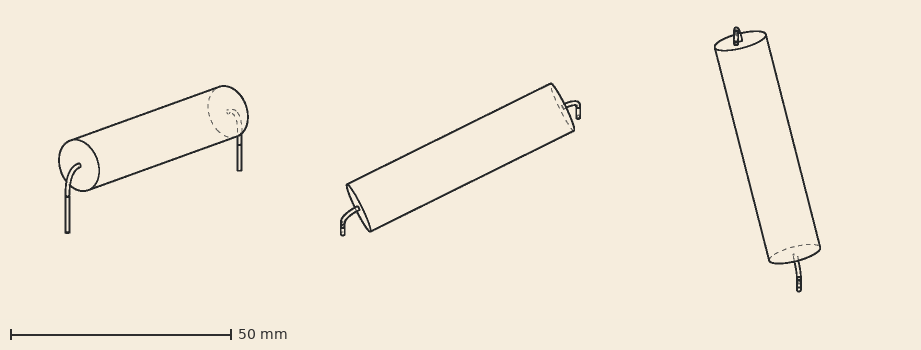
import cadquery as cq

overall_length = 61.05
body_diameter = 12.0
body_length = 52.0
lead_diameter = 1.0
overall_height = 21.0

body_end = body_length / 2
lead_reach = (overall_length - lead_diameter) / 2
lead_bottom = body_diameter / 2 - overall_height

shoulder_reach = 3.05
shoulder_drop = 1.65
leg_drop = 6.4


def make_body():
    """Plain cylinder along Y."""
    end_face = cq.Workplane("XZ", origin=(0, body_end, 0))
    return end_face.circle(body_diameter / 2).extrude(body_length)


def make_lead(side):
    """Round wire leaving one end face and bending down; side is -1 or 1 along Y."""
    center_line = [
        (side * body_end, 0),
        (side * (body_end + shoulder_reach), -shoulder_drop),
        (side * lead_reach, -leg_drop),
        (side * lead_reach, lead_bottom),
    ]
    outward = (side, 0)
    downward = (0, -1)
    path = cq.Workplane("YZ").spline(center_line, tangents=[outward, None, downward, downward])
    section = cq.Workplane("XZ", origin=(0, side * body_end, 0)).circle(lead_diameter / 2)
    return section.sweep(path)


body = make_body()
leads = [make_lead(side) for side in (-1, 1)]

result = cq.Compound.makeCompound([body.val(), *[lead.val() for lead in leads]])